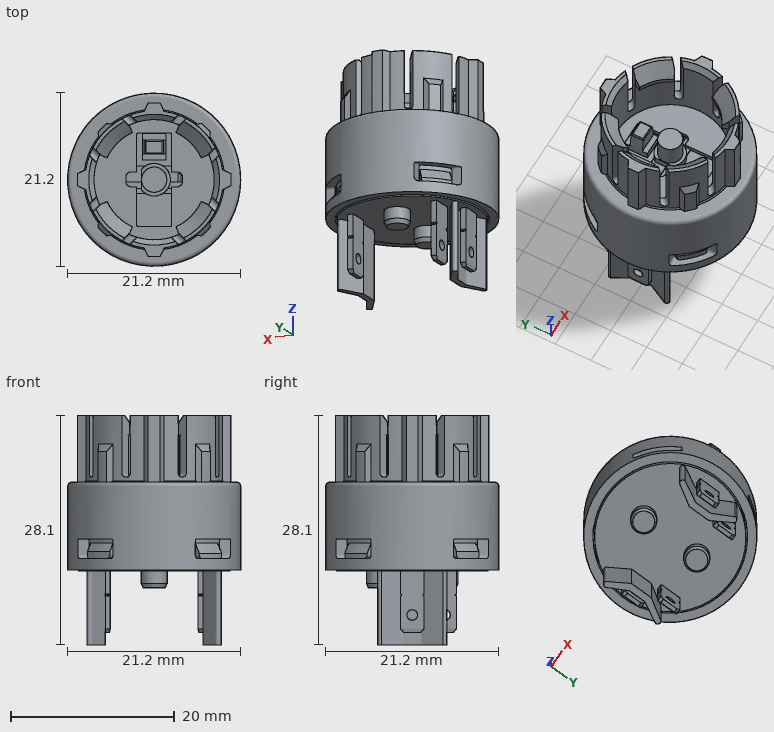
import cadquery as cq
import math

overall_height = 28.1
sleeve_bottom = 9.15
sleeve_top = 19.92
base_bottom = 9.05
base_top = 19.16

sleeve_radius = 10.6
sleeve_edge_fillet = 0.5
bore_radius = 9.45
collet_outer_radius = 16.9 / 2
collet_inner_radius = 14.7 / 2
collet_middle_radius = (collet_inner_radius + collet_outer_radius) / 2
collet_root_chamfer = 0.17
mouth_chamfer = 0.65

slot_width = 1.0
slot_offset = 3.0
slot_bottom = 20.55

rib_tip_half_width = 0.73
rib_root_half_width = 1.25
rib_root_distance = 8.35
long_rib_tip_distance = 9.39
short_rib_tip_radius = 9
short_rib_top = 24.55
short_rib_slope_drop = 0.87

bead_inner_radius = 6.35
bead_edge_top = 26.3
bead_edge_bottom = 25.68
bead_tip_half_width = 2.15
bead_tip_distance = 5.93
bead_root_half_width = 2.55
bead_root_distance = 6.88

window_top = 12.98
window_bottom = 10.57
window_mouth_half_width = 3.03
window_mouth_distance = 10.15
window_inner_distance = 8.43
window_outer_distance = 10.95
window_top_fillet = 0.22
window_bottom_fillet = 0.48

base_radius = 18.5 / 2
hook_half_width = 1.95
hook_top = 12.5
hook_short_reach = 0.55
hook_long_reach = 0.67
hook_steepness = 1.9
hook_corner_fillet = 0.48

recess_half_width = 2.14
recess_half_length = 5.7
recess_depth = 0.6
bridge_depth = 0.45
bridge_half_length = 1.65
channel_top_y = -0.25
channel_bottom_y = -1.07
arm_half_length = 3.45
arm_top_y = 0.95
arm_bottom_y = -0.87
arm_corner_fillet = 0.62
recess_corner_fillet = 0.17
pit_start_x = 2.9
pit_end_x = 3.25
pit_depth = 0.55
pit_back_y = 0.75

block_half_width = 1.43
block_front_y = 2.42
block_back_y = 5.62
block_height = 0.93
post_front_y = 3.12
post_back_y = 4.83
post_top = 21.65
post_top_half_width = 1.12
post_edge_chamfer = 0.15

pillar_diameter = 3.1
pillar_top = 22.65
pillar_flange_radius = 2.0
pillar_flange_top = 19.6
pillar_flange_flat = 1.57

peg_diameter = 3.2
peg_bottom_diameter = 2.7
peg_distance = 4.02
peg_bottom = 7.0
peg_chamfer_height = 0.55

guard_web_outer = 6.83
guard_web_inner = 5.95
guard_web_outer_half = 1.15
guard_web_inner_half = 1.5
guard_cap_radius = 0.4
guard_cap_x = 7.85
guard_cap_y = 3.85
guard_bend_fillet = 0.37

tab_width = 2.87
tab_thickness = 0.75
tab_tip = 1.52
tab_taper_height = 0.48
tab_tip_width = 2.02
tab_tip_thickness = 0.53
tab_hole_diameter = 1.3
tab_hole_height = 3.68
tab_notch_height = 6.13
tab_notch_size = 0.15
middle_tab_x = 7.73
side_tab_x = 5.73
side_tab_y = 4.0

AXIS_ANGLES = [0, 90, 180, 270]
DIAGONAL_ANGLES = [45, 135, 225, 315]


def cylinder(radius, bottom, top):
    return cq.Workplane("XY").workplane(offset=bottom).circle(radius).extrude(top - bottom)


def block(x_min, x_max, y_min, y_max, z_min, z_max):
    size = (x_max - x_min, y_max - y_min, z_max - z_min)
    return cq.Workplane("XY").box(*size, centered=False).translate((x_min, y_min, z_min))


def prism(points, bottom, top):
    return cq.Workplane("XY").workplane(offset=bottom).polyline(points).close().extrude(top - bottom)


def ring(profile):
    """Revolve a closed (radius, height) profile about the Z axis."""
    return cq.Workplane("XZ").polyline(profile).close().revolve(360, (0, 0, 0), (0, 1, 0))


def turned(shape, angle):
    return shape.rotate((0, 0, 0), (0, 0, 1), angle)


def rib(tip_distance, top):
    """Trapezoidal rib on the +X side, rooted inside the collet wall."""
    points = [
        (collet_middle_radius, -rib_root_half_width),
        (rib_root_distance, -rib_root_half_width),
        (tip_distance, -rib_tip_half_width),
        (tip_distance, rib_tip_half_width),
        (rib_root_distance, rib_root_half_width),
        (collet_middle_radius, rib_root_half_width),
    ]
    return prism(points, sleeve_top, top)


def short_rib():
    """Rib that stops below the mouth, with a round tip and a conical top."""
    envelope = ring([
        (0, sleeve_top),
        (short_rib_tip_radius, sleeve_top),
        (short_rib_tip_radius, short_rib_top - short_rib_slope_drop),
        (collet_outer_radius, short_rib_top),
        (0, short_rib_top),
    ])
    return rib(short_rib_tip_radius, short_rib_top).intersect(envelope)


def bead_outline():
    """Plan shape of a snap bead on the +X side, narrowing toward its inner face."""
    points = [
        (bead_tip_distance, -bead_tip_half_width),
        (bead_root_distance, -bead_root_half_width),
        (collet_outer_radius, -bead_root_half_width),
        (collet_outer_radius, bead_root_half_width),
        (bead_root_distance, bead_root_half_width),
        (bead_tip_distance, bead_tip_half_width),
    ]
    return prism(points, bead_edge_bottom, overall_height)


def snap_bead():
    """Inward bead at the mouth of a diagonal collet finger, before its lead-in is cut."""
    bead_ring = cylinder(collet_middle_radius, bead_edge_bottom, overall_height)
    bead_ring = bead_ring.cut(cylinder(bead_inner_radius, bead_edge_bottom, overall_height))
    return bead_ring.intersect(bead_outline())


def bead_lead_in():
    """Conical cut that slopes the top of a bead from the rim down to its inner edge."""
    cone = ring([
        (0, bead_edge_top),
        (bead_inner_radius, bead_edge_top),
        (collet_inner_radius + mouth_chamfer, overall_height),
        (0, overall_height),
    ])
    return cone.intersect(bead_outline())


def collet_slot(side):
    """Round-bottomed slot through the +X wall, offset to one side."""
    radius = slot_width / 2
    arc_center_z = slot_bottom + radius
    y = side * slot_offset
    straight = block(0, sleeve_radius, y - radius, y + radius, arc_center_z, overall_height)
    round_end = (
        cq.Workplane("YZ")
        .center(y, arc_center_z)
        .circle(radius)
        .extrude(sleeve_radius)
    )
    return straight.union(round_end)


def window():
    """Latch window through the +X wall; its side walls flare outward at 45 degrees."""
    inner_half = window_mouth_half_width - (window_mouth_distance - window_inner_distance)
    outer_half = window_mouth_half_width + (window_outer_distance - window_mouth_distance)
    opening = prism(
        [
            (window_inner_distance, -inner_half),
            (window_outer_distance, -outer_half),
            (window_outer_distance, outer_half),
            (window_inner_distance, inner_half),
        ],
        window_bottom,
        window_top,
    )
    opening = opening.faces("<Z").edges("not(|Y)").fillet(window_bottom_fillet)
    return opening.faces(">Z").edges("not(|Y)").fillet(window_top_fillet)


def make_sleeve():
    sleeve = cylinder(sleeve_radius, sleeve_bottom, sleeve_top)
    sleeve = sleeve.faces(">Z").edges().fillet(sleeve_edge_fillet)
    sleeve = sleeve.union(cylinder(collet_outer_radius, sleeve_top, overall_height))
    root_chamfer = ring([
        (collet_inner_radius, sleeve_top),
        (collet_outer_radius + collet_root_chamfer, sleeve_top),
        (collet_outer_radius, sleeve_top + collet_root_chamfer),
        (collet_inner_radius, sleeve_top + collet_root_chamfer),
    ])
    sleeve = sleeve.union(root_chamfer)
    for angle in AXIS_ANGLES:
        sleeve = sleeve.union(turned(rib(long_rib_tip_distance, overall_height), angle))
    for angle in DIAGONAL_ANGLES:
        sleeve = sleeve.union(turned(short_rib(), angle))

    sleeve = sleeve.cut(cylinder(bore_radius, sleeve_bottom, base_top))
    sleeve = sleeve.cut(cylinder(collet_inner_radius, sleeve_bottom, overall_height))
    mouth = ring([
        (0, overall_height),
        (collet_inner_radius + mouth_chamfer, overall_height),
        (collet_inner_radius, overall_height - mouth_chamfer),
        (0, overall_height - mouth_chamfer),
    ])
    sleeve = sleeve.cut(mouth)

    for angle in DIAGONAL_ANGLES:
        sleeve = sleeve.union(turned(snap_bead(), angle))
        sleeve = sleeve.cut(turned(bead_lead_in(), angle))
    for angle in DIAGONAL_ANGLES:
        sleeve = sleeve.cut(turned(collet_slot(1), angle))
        sleeve = sleeve.cut(turned(collet_slot(-1), angle))
        sleeve = sleeve.cut(turned(window(), angle))
    return sleeve.solids()


def hook(reach):
    """Latch hook on the +X side with a sloped top and a cylindrical outer face."""
    tip_radius = base_radius + reach
    hook_ring = ring([
        (0, window_bottom),
        (tip_radius, window_bottom),
        (tip_radius, hook_top - hook_steepness * reach),
        (base_radius, hook_top),
        (0, hook_top),
    ])
    outline = block(
        0, sleeve_radius, -hook_half_width, hook_half_width, window_bottom, hook_top
    )
    outline = outline.faces("<Z").edges("|X").fillet(hook_corner_fillet)
    return hook_ring.intersect(outline)


def floor_recess():
    """Pocket in the top of the base: a long slot and a shorter one that crosses it.

    A shallow bridge spans the middle of the long slot, and a channel at the full
    depth runs along the front edge of the crossing slot.
    """
    recess_floor = base_top - recess_depth
    bridge_top = base_top - bridge_depth
    recess = block(
        -recess_half_width, recess_half_width, -recess_half_length, recess_half_length,
        recess_floor, base_top,
    ).edges("|Z").fillet(recess_corner_fillet)
    bridge = block(
        -recess_half_width, recess_half_width, -bridge_half_length, bridge_half_length,
        recess_floor, bridge_top,
    )
    channel = block(
        -recess_half_width, recess_half_width, channel_bottom_y, channel_top_y,
        recess_floor, base_top,
    )
    arms = block(
        -arm_half_length, arm_half_length, arm_bottom_y, arm_top_y, recess_floor, base_top
    ).edges("|Z").fillet(arm_corner_fillet)
    arm_step = block(
        -arm_half_length, arm_half_length, channel_top_y, arm_top_y,
        recess_floor, bridge_top,
    )
    return recess.cut(bridge).union(arms.cut(arm_step)).union(channel)


def arm_pit():
    """Small sloped pit at the +X end of the crossing slot."""
    floor = base_top - bridge_depth
    return (
        cq.Workplane("XZ", origin=(0, pit_back_y, 0))
        .moveTo(pit_start_x, floor)
        .lineTo(pit_end_x, floor - pit_depth)
        .lineTo(pit_end_x, floor)
        .close()
        .extrude(pit_back_y - channel_top_y)
    )


def contact_post():
    """Block in the recess carrying a post whose X sides lean inward."""
    recess_floor = base_top - recess_depth
    block_top = recess_floor + block_height
    footing = block(
        -block_half_width, block_half_width, block_front_y, block_back_y,
        recess_floor, block_top,
    )
    post = (
        cq.Workplane("XZ", origin=(0, post_back_y, 0))
        .polyline([
            (-block_half_width, block_top),
            (block_half_width, block_top),
            (post_top_half_width, post_top),
            (-post_top_half_width, post_top),
        ])
        .close()
        .extrude(post_back_y - post_front_y)
        .faces(">Z")
        .edges()
        .chamfer(post_edge_chamfer)
    )
    return footing.union(post)


def center_pillar():
    """Round pillar on a larger flange that has one flat side toward -X."""
    root = base_top - recess_depth
    flange = cylinder(pillar_flange_radius, root, pillar_flange_top)
    flat = block(
        -pillar_flange_radius, -pillar_flange_flat, -pillar_flange_radius,
        pillar_flange_radius, root, pillar_flange_top,
    )
    return flange.cut(flat).union(cylinder(pillar_diameter / 2, root, pillar_top))


def peg(y):
    """Locating peg under the base with a tapered tip."""
    shaft_bottom = peg_bottom + peg_chamfer_height
    profile = [
        (0, peg_bottom),
        (peg_bottom_diameter / 2, peg_bottom),
        (peg_diameter / 2, shaft_bottom),
        (peg_diameter / 2, base_bottom),
        (0, base_bottom),
    ]
    return ring(profile).translate((0, y, 0))


def guard():
    """Bent guard wall on the +X side: a flat web with two arms angled outward."""
    arm_run_x = guard_cap_x - guard_cap_radius - guard_web_outer
    arm_run_y = guard_cap_y - guard_web_outer_half
    arm_angle = math.atan2(arm_run_x, arm_run_y)
    normal_x = guard_cap_radius * math.cos(arm_angle)
    normal_y = guard_cap_radius * math.sin(arm_angle)
    outer_end = (guard_cap_x + normal_x, guard_cap_y - normal_y)
    cap_tip = (guard_cap_x + normal_y, guard_cap_y + normal_x)
    inner_end = (guard_cap_x - normal_x, guard_cap_y + normal_y)

    def mirrored(point):
        return (point[0], -point[1])

    bent_wall = (
        cq.Workplane("XY")
        .moveTo(guard_web_outer, -guard_web_outer_half)
        .lineTo(guard_web_outer, guard_web_outer_half)
        .lineTo(*outer_end)
        .threePointArc(cap_tip, inner_end)
        .lineTo(guard_web_inner, guard_web_inner_half)
        .lineTo(guard_web_inner, -guard_web_inner_half)
        .lineTo(*mirrored(inner_end))
        .threePointArc(mirrored(cap_tip), mirrored(outer_end))
        .close()
        .extrude(base_bottom)
    )
    bends = cq.selectors.BoxSelector(
        (guard_web_outer - guard_cap_radius, -guard_web_inner_half, 0),
        (guard_web_outer + guard_cap_radius, guard_web_inner_half, base_bottom),
    )
    return bent_wall.edges("|Z").edges(bends).fillet(guard_bend_fillet)


def terminal_tab(x, y):
    """Flat terminal with a tapered tip, a cross hole and a notch in each edge."""
    shoulder = tab_tip + tab_taper_height
    tab = cq.Workplane("XY").workplane(offset=shoulder).rect(tab_thickness, tab_width)
    tab = tab.extrude(base_bottom - shoulder)
    taper = (
        cq.Workplane("XY")
        .workplane(offset=tab_tip)
        .rect(tab_tip_thickness, tab_tip_width)
        .workplane(offset=tab_taper_height)
        .rect(tab_thickness, tab_width)
        .loft(ruled=True)
    )
    hole = cq.Workplane("YZ").center(0, tab_hole_height).circle(tab_hole_diameter / 2)
    tab = tab.union(taper).cut(hole.extrude(tab_thickness, both=True))
    for edge in (-1, 1):
        edge_y = edge * tab_width / 2
        notch = (
            cq.Workplane("YZ")
            .moveTo(edge_y, tab_notch_height - tab_notch_size)
            .lineTo(edge_y - edge * tab_notch_size, tab_notch_height)
            .lineTo(edge_y, tab_notch_height + tab_notch_size)
            .close()
            .extrude(tab_thickness, both=True)
        )
        tab = tab.cut(notch)
    return tab.translate((x, y, 0))


def make_base():
    base = cylinder(base_radius, base_bottom, base_top)
    base = base.cut(floor_recess()).cut(arm_pit())
    base = base.union(contact_post()).union(center_pillar())
    for angle in DIAGONAL_ANGLES:
        reach = hook_short_reach if angle in (45, 225) else hook_long_reach
        base = base.union(turned(hook(reach), angle))
    for side in (-1, 1):
        base = base.union(peg(side * peg_distance))
        base = base.union(turned(guard(), 0 if side > 0 else 180))
        base = base.union(terminal_tab(side * middle_tab_x, 0))
        base = base.union(terminal_tab(side * side_tab_x, side_tab_y))
    return base.solids()


sleeve = make_sleeve()
base = make_base()
result = cq.Compound.makeCompound([sleeve.val(), base.val()])